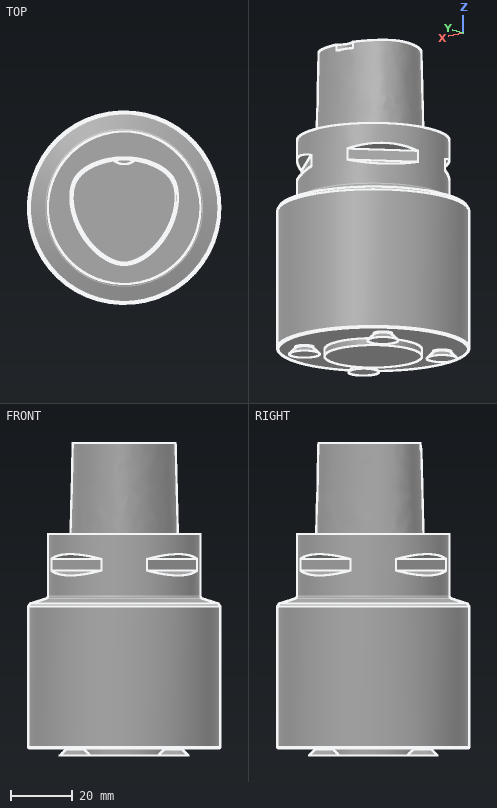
import cadquery as cq
import math

total_height = 102.4
body_bottom = 2.4
cone_bottom = 49.8
cone_top = 51.4
neck_fillet_top = 52.3
neck_top = 72.6

body_diameter = 63.0
body_radius = body_diameter / 2
bottom_chamfer = 0.4
shoulder_inset = 0.6
shoulder_edge_height = 1.0
neck_radius = 50.0 / 2
neck_fillet_width = 0.7

shank_mean_radius = 17.6
lobe_rise = 1.1
taper_per_side = 1 / 40
outline_point_count = 48

recess_radius = 10.0 / 2
recess_inner_y = 14.2
recess_depth = 2.0

groove_count = 4
groove_first_angle = 45
groove_floor_distance = 22.1
groove_floor_height = 3.7
groove_center_z = 62.5
groove_flank_angle = 30

spigot_diameter = 32.0
screw_count = 4
screw_circle_radius = 22.7
screw_first_angle = 45
screw_head_diameter = 10.0
screw_shank_diameter = 6.0


def make_body():
    shoulder_radius = body_radius - shoulder_inset
    fillet_radius = neck_radius + neck_fillet_width
    return (
        cq.Workplane("XZ")
        .moveTo(0, body_bottom)
        .lineTo(body_radius - bottom_chamfer, body_bottom)
        .lineTo(body_radius, body_bottom + bottom_chamfer)
        .lineTo(body_radius, cone_bottom - shoulder_edge_height)
        .lineTo(shoulder_radius, cone_bottom)
        .lineTo(fillet_radius, cone_top)
        .tangentArcPoint((neck_radius, neck_fillet_top), relative=False)
        .lineTo(neck_radius, neck_top)
        .lineTo(0, neck_top)
        .close()
        .revolve(360, (0, 0), (0, 1))
    )


def lobed_outline(mean_radius):
    """Constant-width trilobe with one lobe toward -Y, from its support function."""
    points = []
    for index in range(outline_point_count):
        angle = 2 * math.pi * index / outline_point_count
        support = mean_radius + lobe_rise * math.sin(3 * angle)
        slope = 3 * lobe_rise * math.cos(3 * angle)
        x = support * math.cos(angle) - slope * math.sin(angle)
        y = support * math.sin(angle) + slope * math.cos(angle)
        points.append((x, y))
    return points


def make_shank():
    length = total_height - neck_top
    top_radius = shank_mean_radius - taper_per_side * length
    shank = (
        cq.Workplane("XY", origin=(0, 0, neck_top))
        .spline(lobed_outline(shank_mean_radius), periodic=True)
        .close()
        .workplane(offset=length)
        .spline(lobed_outline(top_radius), periodic=True)
        .close()
        .loft(ruled=True)
    )
    recess = (
        cq.Workplane("XY", origin=(0, 0, total_height - recess_depth))
        .center(0, recess_inner_y + recess_radius)
        .circle(recess_radius)
        .extrude(recess_depth)
    )
    return shank.cut(recess)


def make_groove_cutter(angle):
    outer = body_radius
    floor_half = groove_floor_height / 2
    flare = (outer - groove_floor_distance) * math.tan(math.radians(groove_flank_angle))
    return (
        cq.Workplane("XZ", origin=(0, 0, groove_center_z))
        .polyline([
            (groove_floor_distance, -floor_half),
            (outer, -floor_half - flare),
            (outer, floor_half + flare),
            (groove_floor_distance, floor_half),
        ])
        .close()
        .extrude(neck_radius, both=True)
        .rotate((0, 0, 0), (0, 0, 1), angle)
    )


def make_screw_heads():
    head_radius = screw_head_diameter / 2
    shank_radius = screw_shank_diameter / 2
    head_height = head_radius - shank_radius
    head = (
        cq.Workplane("XZ")
        .polyline([
            (0, 0),
            (head_radius, 0),
            (shank_radius, head_height),
            (shank_radius, body_bottom + bottom_chamfer),
            (0, body_bottom + bottom_chamfer),
        ])
        .close()
        .revolve(360, (0, 0), (0, 1))
    )
    positions = cq.Workplane("XY").polarArray(screw_circle_radius, screw_first_angle, 360, screw_count)
    return positions.eachpoint(lambda place: head.val().moved(place), combine=False)


spigot = cq.Workplane("XY").circle(spigot_diameter / 2).extrude(body_bottom)
result = make_body().union(make_shank()).union(spigot).union(make_screw_heads())
for groove_index in range(groove_count):
    groove_angle = groove_first_angle + groove_index * 360 / groove_count
    result = result.cut(make_groove_cutter(groove_angle))